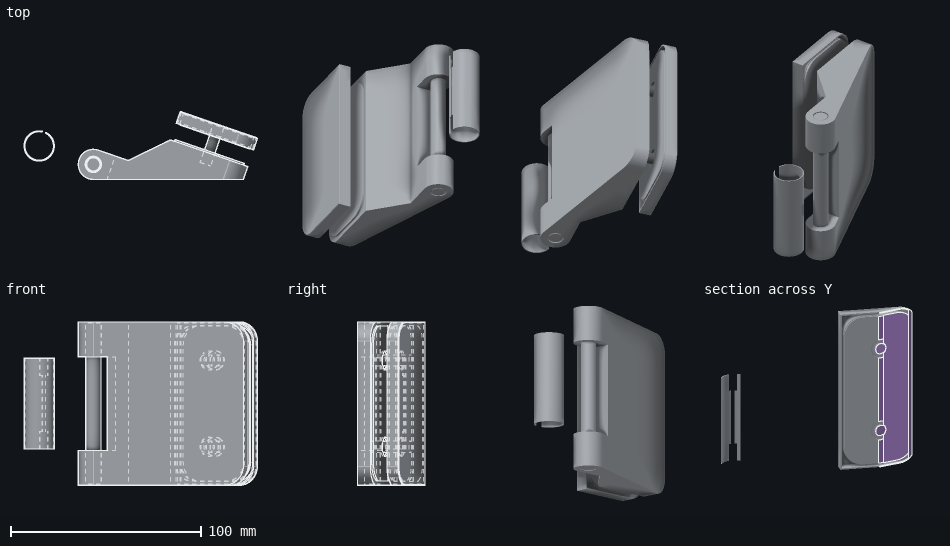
import cadquery as cq
import math


height = 86.0
knuckle_radius = 8.0
notch_height = 49.2
pin_radius = 4.0
pin_chamfer = 0.6
bore_clearance = 0.1

jaw_angle = 19.0
notch_wall = 9.5
jaw_start = 34.1
jaw_length = 43.1
jaw_end = jaw_start + jaw_length
jaw_middle = jaw_start + jaw_length / 2
housing_face = 25.4
corner_radius = 10.1

jaw_gap = 9.2
plate_face = housing_face + jaw_gap
plate_thickness = 6.6
plate_chamfer = 0.4
rim_width = 0.7
recess_depth = 5.8
recess_floor = plate_face + recess_depth

gasket_inset = 2.2
gasket_thickness = 1.0
gasket_proud = 0.2
gasket_hole_radius = 5.0
plate_gasket_face = plate_face - gasket_proud
backing_inset = 2.0
backing_face = plate_gasket_face + gasket_thickness
pad_corner_radius = 10.1

screw_radius = 3.0
screw_spacing = 45.4
screw_depth = 6.1
screw_bottom = housing_face - screw_depth
screw_points = [(0, -screw_spacing / 2), (0, screw_spacing / 2)]

sleeve_radius = 8.0
sleeve_wall = 0.5
sleeve_height = 47.9
sleeve_center = (-28.5, 9.7)
slit_width = 4.4
slit_waist_width = 1.8
slit_waist_height = 29.5

cos_jaw = math.cos(math.radians(jaw_angle))
sin_jaw = math.sin(math.radians(jaw_angle))
jaw_direction = cq.Vector(cos_jaw, -sin_jaw, 0)
jaw_normal = cq.Vector(sin_jaw, cos_jaw, 0)
across_jaw = cq.selectors.ParallelDirSelector(jaw_normal)
farthest_along_jaw = cq.selectors.DirectionMinMaxSelector(jaw_direction)
farthest_from_housing = cq.selectors.DirectionMinMaxSelector(jaw_normal)


def to_xy(u, n):
    """X, Y of the point at u along the jaw face and n square to it."""
    return (u * cos_jaw + n * sin_jaw, n * cos_jaw - u * sin_jaw)


def jaw_plane(n):
    """Workplane parallel to the jaw face at n, centred on the jaw; its x is u, it faces +n."""
    origin = (*to_xy(jaw_middle, n), 0)
    return cq.Workplane(cq.Plane(origin, xDir=jaw_direction, normal=jaw_normal))


def jaw_block(n_start, n_end, inset):
    """Square-cornered block over the jaw outline less an inset."""
    plane = jaw_plane(n_start)
    return plane.rect(jaw_length - 2 * inset, height - 2 * inset).extrude(n_end - n_start)


def pad(n_start, n_end, inset, hole_radius):
    """Pad with four rounded corners and a hole around each screw."""
    body = jaw_block(n_start, n_end, inset).edges(across_jaw).fillet(pad_corner_radius)
    holes = jaw_plane(n_start).pushPoints(screw_points).circle(hole_radius).extrude(n_end - n_start)
    return body.cut(holes)


def screws():
    """Two separate screws, from inside the housing to the floor of the plate recess."""
    plane = jaw_plane(screw_bottom)
    return plane.pushPoints(screw_points).circle(screw_radius).extrude(recess_floor - screw_bottom)


def pin_cylinder(radius):
    """Full-height cylinder on the pin axis."""
    return cq.Workplane().workplane(offset=-height / 2).circle(radius).extrude(height)


def pin():
    return pin_cylinder(pin_radius).edges().chamfer(pin_chamfer)


def housing():
    bottom_y = -knuckle_radius
    bottom_end_n = (bottom_y + jaw_end * sin_jaw) / cos_jaw
    ramp_start = jaw_start - (housing_face - knuckle_radius)
    body = (
        cq.Workplane()
        .workplane(offset=-height / 2)
        .moveTo(0, bottom_y)
        .threePointArc((-knuckle_radius, 0), to_xy(0, knuckle_radius))
        .lineTo(*to_xy(ramp_start, knuckle_radius))
        .lineTo(*to_xy(jaw_start, housing_face))
        .lineTo(*to_xy(jaw_end, housing_face))
        .lineTo(*to_xy(jaw_end, bottom_end_n))
        .close()
        .extrude(height)
    )
    body = body.edges(across_jaw).fillet(corner_radius)
    notch_side = 4 * knuckle_radius
    notch = cq.Workplane().box(notch_side, notch_side, notch_height)
    notch = notch.translate((notch_wall - notch_side / 2, 0, 0))
    notch = notch.rotate((0, 0, 0), (0, 0, 1), -jaw_angle)
    return body.cut(notch)


def cover_plate():
    body = jaw_block(plate_face, plate_face + plate_thickness, 0)
    body = body.edges(across_jaw).edges(farthest_along_jaw).fillet(corner_radius)
    body = body.faces(farthest_from_housing).chamfer(plate_chamfer)
    recess = jaw_block(plate_face, recess_floor, rim_width)
    recess = recess.edges(across_jaw).edges(farthest_along_jaw).fillet(corner_radius - rim_width)
    return body.cut(recess)


def sleeve_slit(width, slit_height, middle_z):
    """Block that cuts one stretch of the slit through the +Y wall of the sleeve."""
    return cq.Workplane().box(width, sleeve_radius, slit_height).translate((0, sleeve_radius, middle_z))


def sleeve():
    ring = cq.Workplane().workplane(offset=-sleeve_height / 2).circle(sleeve_radius)
    body = ring.circle(sleeve_radius - sleeve_wall).extrude(sleeve_height)
    wide_height = (sleeve_height - slit_waist_height) / 2
    wide_z = (sleeve_height - wide_height) / 2
    slit = (
        sleeve_slit(slit_waist_width, slit_waist_height, 0)
        .union(sleeve_slit(slit_width, wide_height, wide_z))
        .union(sleeve_slit(slit_width, wide_height, -wide_z))
    )
    body = body.cut(slit.rotate((0, 0, 0), (0, 0, 1), -jaw_angle))
    return body.translate((*sleeve_center, 0))


hinge_pin = pin()
clamp_screws = screws()
hinge_housing = housing().cut(pin_cylinder(pin_radius + bore_clearance)).cut(clamp_screws)
plate = cover_plate()
spring_sleeve = sleeve()
housing_gasket = pad(housing_face, housing_face + gasket_thickness, gasket_inset, gasket_hole_radius)
plate_gasket = pad(plate_gasket_face, backing_face, gasket_inset, gasket_hole_radius)
backing_pad = pad(backing_face, recess_floor, backing_inset, screw_radius)

result = cq.Compound.makeCompound([
    hinge_housing.val(),
    hinge_pin.val(),
    plate.val(),
    backing_pad.val(),
    plate_gasket.val(),
    housing_gasket.val(),
    *clamp_screws.vals(),
    spring_sleeve.val(),
])